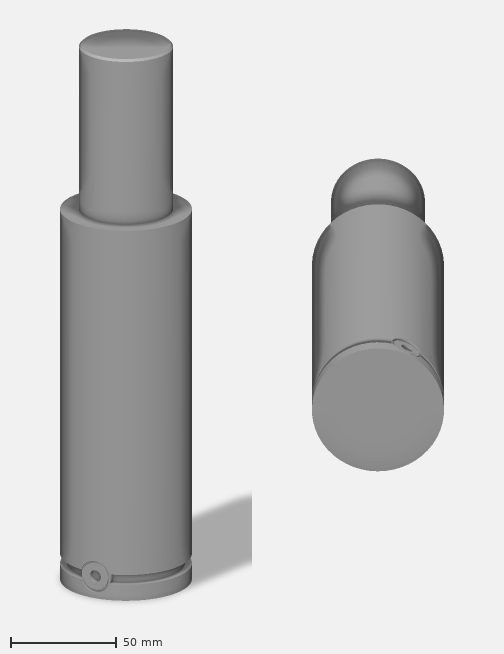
import cadquery as cq

total_height = 270.0
body_height = 186.8
body_diameter = 63.0
body_radius = body_diameter / 2
rod_radius = 22.5
rod_chamfer = 1.0

groove_bottom = 8.0
groove_width = 4.9
groove_depth = 3.2

port_height = 10.8
port_radius = 7.8
port_floor_setback = 1.5
plug_radius = 6.8
plug_setback = 0.8
plug_hole_radius = 3.0
plug_hole_depth = 2.7

port_floor_distance = body_radius - port_floor_setback
plug_face_distance = body_radius - plug_setback


def port_cylinder(radius, start, end):
    """Cylinder along the port axis between two distances from the body axis."""
    plane = cq.Workplane("XZ", origin=(0, -start, port_height))
    return plane.circle(radius).extrude(end - start)


def make_body():
    body = cq.Workplane("XY").circle(body_radius).extrude(body_height)
    groove = (
        cq.Workplane("XY", origin=(0, 0, groove_bottom))
        .circle(body_radius)
        .circle(body_radius - groove_depth)
        .extrude(groove_width)
    )
    return body.cut(groove)


def make_rod():
    rod = cq.Workplane("XY").circle(rod_radius).extrude(total_height)
    return rod.faces(">Z").chamfer(rod_chamfer)


def add_port(body):
    body = body.union(port_cylinder(port_radius, 0, port_floor_distance))
    body = body.cut(port_cylinder(port_radius, port_floor_distance, body_radius))
    body = body.union(port_cylinder(plug_radius, 0, plug_face_distance))
    hole_bottom = plug_face_distance - plug_hole_depth
    return body.cut(port_cylinder(plug_hole_radius, hole_bottom, plug_face_distance))


result = add_port(make_body().union(make_rod()))